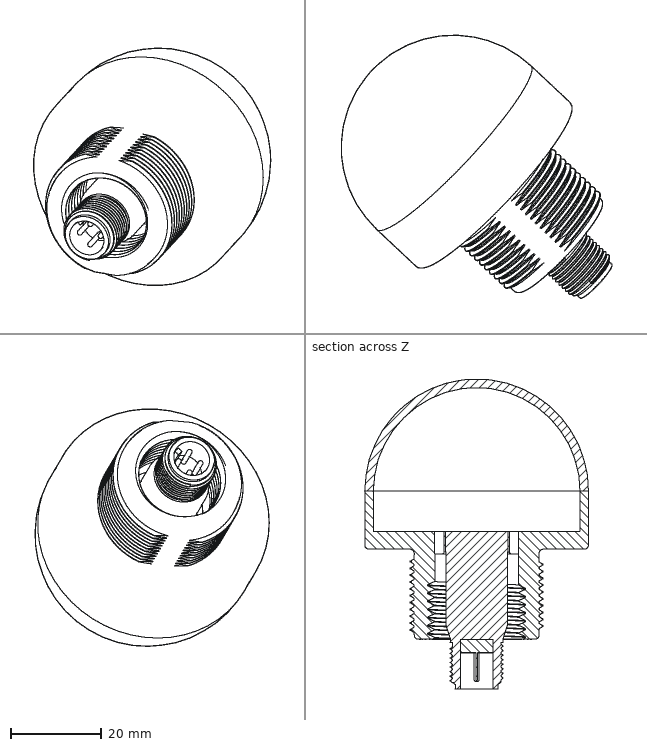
import cadquery as cq
import math

overall_length = 69.0
dome_diameter = 50.0
dome_radius = dome_diameter / 2
wall = 2.0

cup_depth = 13.0
neck_length = 20.0
neck_root_radius = 14.1
neck_flat_spacing = 27.7
edge_radius = 1.0
floor_thickness = 5.0
cavity_floor_depth = 9.0

neck_crest_radius = 14.9
neck_thread_turns = 10.5
neck_thread_length = 15.95
neck_thread_start = 1.8
neck_thread_base_width = 1.25
neck_thread_crest_width = 0.2

bore_radius = 9.45
bore_groove_radius = 11.05
bore_thread_pitch = 1.8
bore_thread_turns = 8
bore_groove_mouth_width = 1.65
bore_groove_bottom_width = 0.15

seat_radius = 7.2
seat_chamfer_width = 0.75
seat_chamfer_depth = 0.4
slot_height = 4.8
slot_inner_reach = 7.25
slot_outer_reach = 9.4
slot_corner_radius = 0.8

shell_crest_radius = 6.2
shell_root_radius = 5.8
shell_tip_radius = 5.2
shell_bore_radius = 4.1
shell_bore_depth = 8.0
tip_collar_length = 1.0
tip_taper_length = 0.55
shell_relief_length = 0.7
shell_cone_length = 3.2
shell_thread_turns = 8
shell_thread_length = 8.1
shell_thread_start = 1.65
shell_thread_base_width = 0.9
shell_thread_crest_width = 0.1

key_width = 1.2
key_inner_reach = 3.0
key_angle = 45.0
key_recess = 2.4

pin_count = 4
pin_radius = 0.55
pin_tip_radius = 0.4
pin_circle_radius = 2.5
pin_recess = 1.65
insert_thickness = 3.0

flange_y = -cup_depth
neck_end_y = flange_y - neck_length
tip_y = dome_radius - overall_length
cavity_radius = dome_radius - wall
cavity_floor_y = -cavity_floor_depth
bore_floor_y = cavity_floor_y - floor_thickness
insert_face_y = tip_y + shell_bore_depth
insert_back_y = insert_face_y + insert_thickness

start_at_minus_z = 90
start_at_plus_z = -90
thread_overlap = 0.15
selection_margin = 0.1
joint_tolerance = 0.001


def disc(radius, from_y, to_y):
    """Solid cylinder about the Y axis."""
    return cq.Workplane("XZ", origin=(0, from_y, 0)).circle(radius).extrude(from_y - to_y)


def thread_rib(base_radius, tip_radius, base_width, tip_width, pitch, turns, start_y, start_angle):
    """Right-handed helical rib about Y, climbing toward +Y.

    The profile is centred at start_y; start_angle says on which side.
    The rib points outward and its profile reaches a little inside base_radius.
    """
    inner_radius = base_radius - thread_overlap
    profile = cq.Workplane("XZ").polyline([
        (inner_radius, -base_width / 2),
        (base_radius, -base_width / 2),
        (tip_radius, -tip_width / 2),
        (tip_radius, tip_width / 2),
        (base_radius, base_width / 2),
        (inner_radius, base_width / 2),
    ]).close()
    helix = cq.Wire.makeHelix(pitch, pitch * turns, base_radius)
    rib = profile.sweep(cq.Workplane(helix), isFrenet=True)
    return (
        rib.rotate((0, 0, 0), (0, 0, 1), start_angle)
        .rotate((0, 0, 0), (1, 0, 0), -90)
        .translate((0, start_y, 0))
    )


def between_neck_flats(body):
    """Trim a neck shape to the two flats that face +Z and -Z."""
    slab = cq.Workplane("XY").box(dome_diameter, 2 * overall_length, neck_flat_spacing)
    return body.intersect(slab)


def make_dome():
    diagonal = math.sqrt(0.5)
    return (
        cq.Workplane("XY")
        .moveTo(cavity_radius, 0)
        .lineTo(dome_radius, 0)
        .threePointArc((dome_radius * diagonal, dome_radius * diagonal), (0, dome_radius))
        .lineTo(0, cavity_radius)
        .threePointArc((cavity_radius * diagonal, cavity_radius * diagonal), (cavity_radius, 0))
        .close()
        .revolve(360, (0, 0, 0), (0, 1, 0))
    )


def make_housing_blank():
    """Cup and flatted neck with rounded edges, still without bore or threads."""
    cup = disc(dome_radius, 0, flange_y).faces("<Y").edges().fillet(edge_radius)
    neck = between_neck_flats(disc(neck_root_radius, flange_y + wall, neck_end_y))
    neck = neck.faces("<Y").edges().fillet(edge_radius)
    root_edges = cq.selectors.BoxSelector(
        (-neck_crest_radius, flange_y - selection_margin, -neck_crest_radius),
        (neck_crest_radius, flange_y + selection_margin, neck_crest_radius),
        boundingbox=True,
    )
    return cup.union(neck).edges(root_edges).fillet(edge_radius)


def make_neck_thread():
    rib = thread_rib(
        neck_root_radius, neck_crest_radius, neck_thread_base_width, neck_thread_crest_width,
        neck_thread_length / neck_thread_turns, neck_thread_turns, neck_end_y + neck_thread_start,
        start_at_minus_z,
    )
    return between_neck_flats(rib)


def make_bore_groove():
    """Internal thread groove; it starts one turn outside the mouth so that it runs out through it."""
    return thread_rib(
        bore_radius, bore_groove_radius, bore_groove_mouth_width, bore_groove_bottom_width,
        bore_thread_pitch, bore_thread_turns, neck_end_y - bore_thread_pitch, start_at_plus_z,
    )


def make_floor_slots():
    """Two openings, left and right of the connector, from the bore into the cavity."""
    slot_width = slot_outer_reach - slot_inner_reach
    slot_centre = (slot_outer_reach + slot_inner_reach) / 2
    return (
        cq.Workplane("XZ", origin=(0, cavity_floor_y, 0))
        .pushPoints([(-slot_centre, 0), (slot_centre, 0)])
        .rect(slot_width, slot_height)
        .extrude(floor_thickness)
        .edges("|Y")
        .fillet(slot_corner_radius)
    )


def make_housing():
    seat_hole = disc(seat_radius, cavity_floor_y, bore_floor_y)
    seat_countersink = cq.Workplane(obj=cq.Solid.makeCone(
        seat_radius + seat_chamfer_width, seat_radius, seat_chamfer_depth,
        pnt=cq.Vector(0, bore_floor_y, 0), dir=cq.Vector(0, 1, 0),
    ))
    return (
        make_housing_blank()
        .union(make_neck_thread(), tol=joint_tolerance)
        .cut(disc(cavity_radius, 0, cavity_floor_y))
        .cut(disc(bore_radius, bore_floor_y, neck_end_y))
        .cut(make_bore_groove(), tol=joint_tolerance)
        .cut(seat_hole)
        .cut(seat_countersink)
        .cut(make_floor_slots())
    )


def make_coding_key():
    """Rib on the bore wall, pointing at the axis from the -X +Z side."""
    wall_reach = (shell_bore_radius + shell_tip_radius) / 2
    key_height = wall_reach - key_inner_reach
    return (
        cq.Workplane("XZ", origin=(0, insert_face_y, 0))
        .center(-(key_inner_reach + wall_reach) / 2, 0)
        .rect(key_height, key_width)
        .extrude(insert_face_y - tip_y - key_recess)
        .rotate((0, 0, 0), (0, 1, 0), key_angle)
    )


def make_connector_shell():
    collar_y = tip_y + tip_collar_length
    taper_y = collar_y + tip_taper_length
    relief_y = neck_end_y - shell_relief_length
    cone_y = neck_end_y + shell_cone_length
    outline = [
        (shell_bore_radius, tip_y),
        (shell_tip_radius, tip_y),
        (shell_tip_radius, collar_y),
        (shell_root_radius, taper_y),
        (shell_root_radius, relief_y),
        (shell_crest_radius, relief_y),
        (shell_crest_radius, neck_end_y),
        (seat_radius, cone_y),
        (seat_radius, cavity_floor_y),
        (0, cavity_floor_y),
        (0, insert_back_y),
        (shell_bore_radius, insert_back_y),
    ]
    blank = cq.Workplane("XY").polyline(outline).close().revolve(360, (0, 0, 0), (0, 1, 0))
    rib = thread_rib(
        shell_root_radius, shell_crest_radius, shell_thread_base_width, shell_thread_crest_width,
        shell_thread_length / shell_thread_turns, shell_thread_turns, tip_y + shell_thread_start,
        start_at_minus_z,
    )
    return blank.union(rib, tol=joint_tolerance).union(make_coding_key())


def make_contact_insert():
    """Disc that fills the bottom of the shell's bore and carries the round-tipped pins."""
    pins = (
        cq.Workplane("XZ", origin=(0, insert_back_y, 0))
        .polarArray(pin_circle_radius, 0, 360, pin_count)
        .circle(pin_radius)
        .extrude(insert_back_y - tip_y - pin_recess)
        .faces("<Y")
        .edges()
        .fillet(pin_tip_radius)
    )
    return disc(shell_bore_radius, insert_back_y, insert_face_y).union(pins)


dome = make_dome()
housing = make_housing()
connector_shell = make_connector_shell()
contact_insert = make_contact_insert()

result = cq.Compound.makeCompound([
    dome.val(),
    housing.val(),
    connector_shell.val(),
    contact_insert.val(),
])